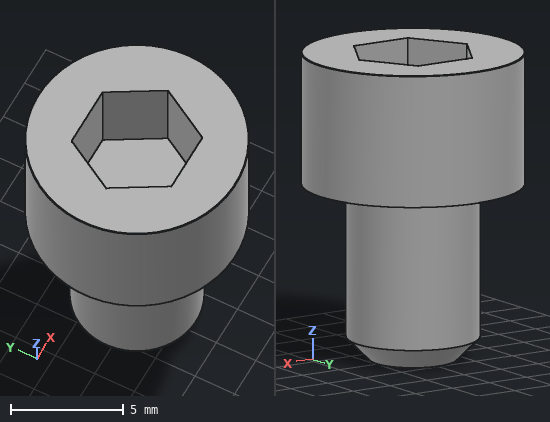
import cadquery as cq
import math

total_height = 14
head_diameter = 10.0
head_height = 6.0
head_edge_chamfer = 0.03
shank_diameter = 6.0
tip_chamfer = 1.02
socket_across_flats = 5.05
socket_depth = 4.0

shank_length = total_height - head_height
socket_across_corners = socket_across_flats / math.cos(math.pi / 6)

shank = (
    cq.Workplane("XY")
    .circle(shank_diameter / 2)
    .extrude(shank_length)
    .faces("<Z")
    .chamfer(tip_chamfer)
)

head = (
    cq.Workplane("XY")
    .workplane(offset=shank_length)
    .circle(head_diameter / 2)
    .extrude(head_height)
    .faces(">Z")
    .chamfer(head_edge_chamfer)
)

socket = (
    cq.Workplane("XY")
    .workplane(offset=total_height - socket_depth)
    .polygon(6, socket_across_corners)
    .extrude(socket_depth)
)

result = shank.union(head).cut(socket)